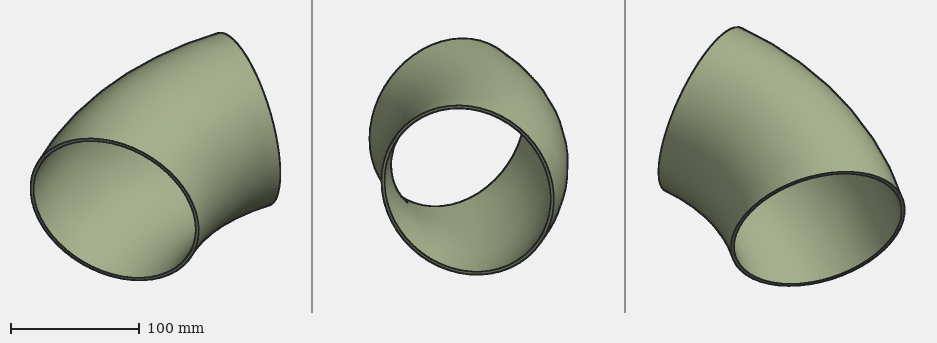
import cadquery as cq
import math

overall_length = 184.1
outer_diameter = 139.7
wall = 2.5
bend_angle = 45.0

outer_radius = outer_diameter / 2
inner_radius = outer_radius - wall

outermost_arc_radius = overall_length / math.sin(math.radians(bend_angle))
bend_radius = outermost_arc_radius - outer_radius

result = (
    cq.Workplane("XZ")
    .circle(outer_radius)
    .circle(inner_radius)
    .revolve(bend_angle, (bend_radius, 1.8, 0), (bend_radius, 0, 0))
)